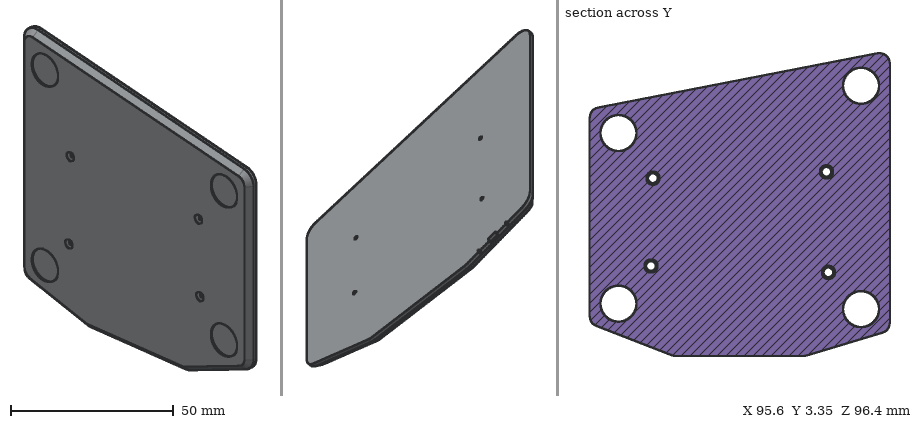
import cadquery as cq
import math

width = 95.6
height = 96.41
thickness = 3.35
bevel = 2.0
corner_radius = 4.9

top_slope = math.radians(11.0)
lower_left_slope = math.radians(16.75)
lower_right_slope = math.radians(21.25)
bottom_left_x = -20.38
bottom_right_x = 20.67

foot_diameter = 11.0
foot_depth = 0.5
foot_centers = [(-37.30, 36.52), (37.30, 21.98), (37.30, -30.49), (-37.30, -32.17)]

mouth_diameter = 3.0
pocket_floor_diameter = 4.81
pocket_depth = 0.8
screw_diameter = 1.22
screw_centers = [(-26.67, 10.06), (26.70, 8.10), (27.30, -18.91), (-27.27, -20.87)]

notch_middle_x = -31.9
notch_width = 3.3
notch_depth = 1.5
groove_spacing = 6.1
groove_width = 0.6
groove_depth = 1.0
groove_height = 0.7

left_x = -width / 2
right_x = width / 2
bottom_z = -height / 2
front_y = -thickness / 2
back_y = thickness / 2
rim_height = thickness - bevel


def front_workplane():
    """XZ sketch plane on the front face; extruding a negative length goes toward +Y."""
    return cq.Workplane("XZ", origin=(0, front_y, 0))


def outline_corners():
    """Sharp corners of the outline as (x, z), clockwise from the upper left."""
    arc_center_x = left_x + corner_radius
    arc_center_z = height / 2 - corner_radius
    top_edge_z = arc_center_z + corner_radius / math.cos(top_slope)
    top_left_z = top_edge_z + (arc_center_x - left_x) * math.tan(top_slope)
    return [
        (left_x, top_left_z),
        (right_x, top_left_z - width * math.tan(top_slope)),
        (right_x, bottom_z + (right_x - bottom_right_x) * math.tan(lower_right_slope)),
        (bottom_right_x, bottom_z),
        (bottom_left_x, bottom_z),
        (left_x, bottom_z + (bottom_left_x - left_x) * math.tan(lower_left_slope)),
    ]


def plate():
    blank = front_workplane().polyline(outline_corners()).close().extrude(-thickness)
    return blank.edges("|Y").fillet(corner_radius).faces("<Y").chamfer(bevel)


def foot_recesses():
    return front_workplane().pushPoints(foot_centers).circle(foot_diameter / 2).extrude(-foot_depth)


def screw_hole(x, z):
    pocket = cq.Solid.makeCone(
        mouth_diameter / 2,
        pocket_floor_diameter / 2,
        pocket_depth,
        pnt=cq.Vector(x, front_y, z),
        dir=cq.Vector(0, 1, 0),
    )
    shank = front_workplane().center(x, z).circle(screw_diameter / 2).extrude(-thickness)
    return shank.union(cq.Workplane(obj=pocket))


def rim_cut(offset, length, depth, height):
    """Block to cut square into the lower left edge, `offset` along it from the middle notch."""
    middle_z = bottom_z + (bottom_left_x - notch_middle_x) * math.tan(lower_left_slope)
    block = cq.Workplane("XY").box(length, height, 2 * depth)
    return (
        block.translate((offset, back_y - height / 2, 0))
        .rotate((0, 0, 0), (0, 1, 0), math.degrees(lower_left_slope))
        .translate((notch_middle_x, 0, middle_z))
    )


result = plate().cut(foot_recesses())
for x, z in screw_centers:
    result = result.cut(screw_hole(x, z))
result = result.cut(rim_cut(0, notch_width, notch_depth, rim_height))
for side in (-1, 1):
    result = result.cut(rim_cut(side * groove_spacing, groove_width, groove_depth, groove_height))